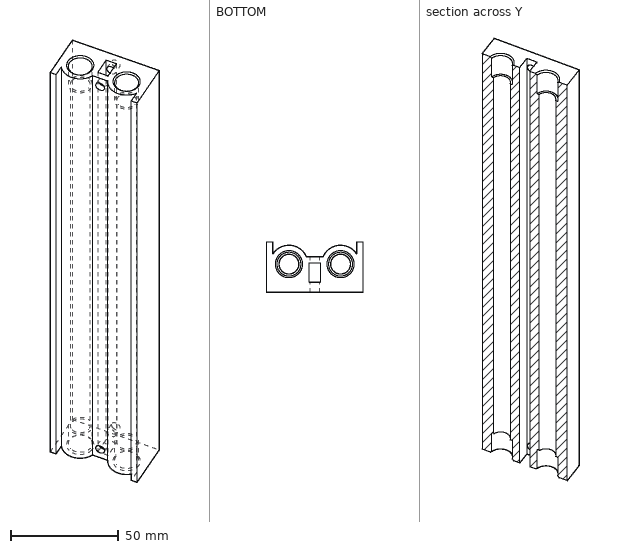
import cadquery as cq

width = 45.0
depth = 23.5
length = 253.0

wall = 3.0
web_thickness = 16.7

channel_spacing = 24.0
channel_y = -13.2
channel_outer_radius = 8.9
channel_bore_radius = 4.5

port_radius = 5.5
port_depth = 12.6
port_chamfer = 0.8

passage_width = 5.3
passage_back = 4.8
passage_front = 13.7

mount_diameter = 4.5
mount_end_distance = 5.5

channel_centers = [(side * channel_spacing / 2, channel_y) for side in (-1, 1)]


def bars(radius, start, height):
    """Round bars along Z on both channel centres."""
    plane = cq.Workplane("XY", origin=(0, 0, start))
    return plane.pushPoints(channel_centers).circle(radius).extrude(height)


def body():
    """Web with a side wall at each edge and a round tube around each channel."""
    start = -length / 2
    plane = cq.Workplane("XY", origin=(0, 0, start))
    web = plane.center(0, -web_thickness / 2).rect(width, web_thickness).extrude(length)
    wall_x = (width - wall) / 2
    wall_centers = [(-wall_x, -depth / 2), (wall_x, -depth / 2)]
    walls = plane.pushPoints(wall_centers).rect(wall, depth).extrude(length)
    return web.union(walls).union(bars(channel_outer_radius, start, length))


def channel_bores():
    """Through bores with a chamfered port at each end."""
    bores = bars(channel_bore_radius, -length / 2, length)
    top_ports = bars(port_radius, length / 2 - port_depth, port_depth)
    mouth = cq.Workplane("XY", origin=(0, 0, length / 2)).pushPoints(channel_centers)
    mouths = mouth.circle(port_radius + port_chamfer).extrude(-port_chamfer, taper=45)
    top_ports = top_ports.union(mouths)
    return bores.union(top_ports).union(top_ports.mirror("XY"))


def passage():
    """Rectangular passage through the full length."""
    middle_y = -(passage_back + passage_front) / 2
    plane = cq.Workplane("XY", origin=(0, middle_y, -length / 2))
    return plane.rect(passage_width, passage_front - passage_back).extrude(length)


def mount_holes():
    """One hole near each end, straight through the web and across the passage."""
    mount_z = length / 2 - mount_end_distance
    hole_centers = [(0, mount_z), (0, -mount_z)]
    return cq.Workplane("XZ").pushPoints(hole_centers).circle(mount_diameter / 2).extrude(depth)


result = body().cut(channel_bores()).cut(passage()).cut(mount_holes())